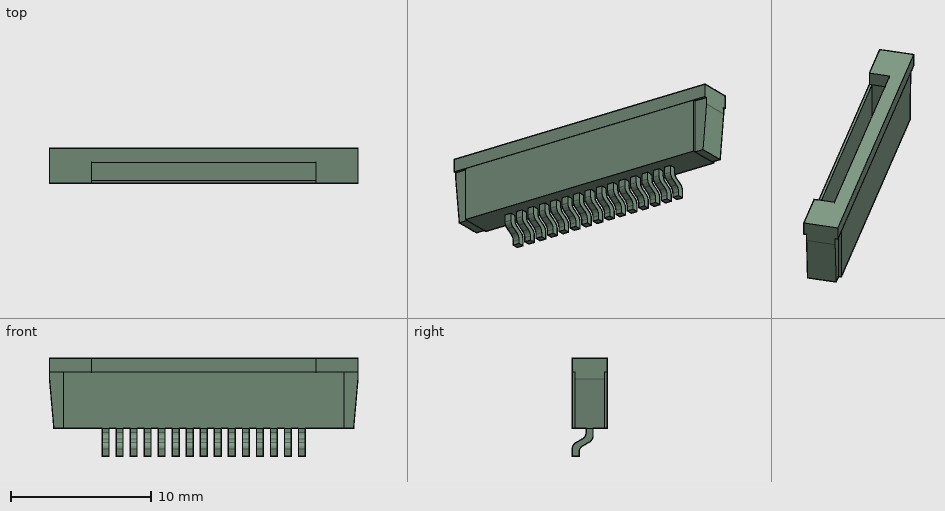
import cadquery as cq
import math


cap_length = 22.0
depth = 2.5
cap_height = 1.0
cap_bottom = 4.0
cap_top = cap_bottom + cap_height

housing_length = 20.0
wall = 0.2

slot_length = 16.0
slot_depth = 1.5
pocket_floor = 1.0
front_face = -depth / 2
pocket_front = front_face + wall
pocket_back = depth / 2 - wall
slot_back = front_face + slot_depth

arm_inset = 0.2
arm_taper = 0.3
arm_straight_height = 0.5

pin_count = 15
pin_row_span = 14.0
pin_pitch = pin_row_span / (pin_count - 1)
pin_width = 0.5
pin_thickness = 0.5
pin_height = 2.0
pin_root_front = -0.26
pin_root_height = 0.3
pin_bend_radius = 0.5
pin_bend_angle = math.radians(60)


def box_between(x_size, y_min, y_max, z_min, z_max):
    """Box centred in X, spanning the given Y and Z ranges."""
    return cq.Workplane("XY").box(x_size, y_max - y_min, z_max - z_min).translate(
        (0, (y_min + y_max) / 2, (z_min + z_max) / 2)
    )


def pin_front_side():
    """Points down the front of a pin: root, two opposite bends with a slope between them, foot.

    Each bend is listed as its start, a point halfway along its arc, and its end.
    """
    shift = pin_root_front - front_face
    slope_run = shift - 2 * pin_bend_radius * (1 - math.cos(pin_bend_angle))
    slope_drop = slope_run / math.tan(pin_bend_angle)
    bend_drop = pin_bend_radius * math.sin(pin_bend_angle)
    bend_top = -pin_root_height
    bend_bottom = bend_top - 2 * bend_drop - slope_drop

    upper_bend = []
    lower_bend = []
    for angle in (0, pin_bend_angle / 2, pin_bend_angle):
        run = pin_bend_radius * (1 - math.cos(angle))
        drop = pin_bend_radius * math.sin(angle)
        upper_bend.append((pin_root_front - run, bend_top - drop))
        lower_bend.insert(0, (front_face + run, bend_bottom + drop))
    return [(pin_root_front, 0), *upper_bend, *lower_bend, (front_face, -pin_height)]


def make_pin(x_center):
    """One S-bent pin hanging from the underside of the housing."""
    front_side = pin_front_side()
    root_back = pin_root_front + pin_thickness
    back_side = [(front_face + root_back - y, -pin_height - z) for y, z in front_side]

    profile = cq.Workplane("YZ", origin=(x_center - pin_width / 2, 0, 0)).moveTo(*back_side[-1])
    for side in (front_side, back_side):
        root, bend_1_start, bend_1_mid, bend_1_end, bend_2_start, bend_2_mid, bend_2_end, tip = side
        profile = (
            profile.lineTo(*root)
            .lineTo(*bend_1_start)
            .threePointArc(bend_1_mid, bend_1_end)
            .lineTo(*bend_2_start)
            .threePointArc(bend_2_mid, bend_2_end)
            .lineTo(*tip)
        )
    return profile.close().extrude(pin_width)


def make_housing():
    """Block with a pocket open at the top and a row of pins below, all in one solid."""
    block = box_between(housing_length, front_face, depth / 2, 0, cap_bottom)
    pocket = box_between(slot_length, pocket_front, pocket_back, pocket_floor, cap_bottom)
    housing = block.cut(pocket)
    for index in range(pin_count):
        housing = housing.union(make_pin(index * pin_pitch - pin_row_span / 2))
    return housing


def make_arm(side):
    """Arm that hangs beside one end of the housing, tapering in X toward its lower end."""
    inner = side * housing_length / 2
    outer = side * cap_length / 2
    tip_outer = outer - side * arm_taper
    return (
        cq.Workplane("XZ", origin=(0, depth / 2 - arm_inset, 0))
        .polyline(
            [
                (inner, 0),
                (inner, cap_bottom),
                (outer, cap_bottom),
                (outer, cap_bottom - arm_straight_height),
                (tip_outer, 0),
            ]
        )
        .close()
        .extrude(depth - 2 * arm_inset)
    )


def make_slider():
    """Slotted cap with a tongue that fills the back of the pocket, and an arm at each end."""
    cap = box_between(cap_length, front_face, depth / 2, cap_bottom, cap_top)
    slot = box_between(slot_length, front_face, slot_back, cap_bottom, cap_top)
    tongue = box_between(slot_length, slot_back, pocket_back, pocket_floor, cap_bottom)
    slider = cap.cut(slot).union(tongue)
    for side in (-1, 1):
        slider = slider.union(make_arm(side))
    return slider


housing = make_housing()
slider = make_slider()

result = cq.Compound.makeCompound([housing.val(), slider.val()])